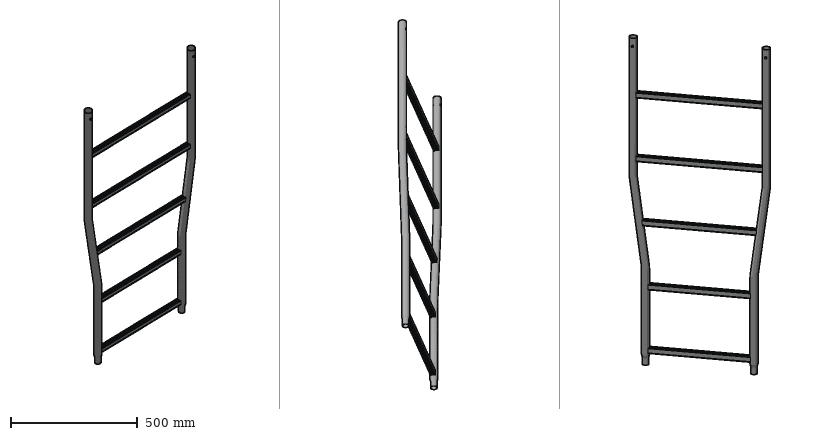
import cadquery as cq
import math

TOTAL_HEIGHT = 1435.0
TOTAL_WIDTH = 568.0
LOWER_WIDTH = 469.0

BORE_RADIUS = 15.0
WALL = 2.5
TUBE_RADIUS = BORE_RADIUS + WALL

SPIGOT_RADIUS = 13.6
SPIGOT_TOP = 30.0
TUBE_BOTTOM = 43.0

UPPER_Y = TOTAL_WIDTH / 2 - TUBE_RADIUS
LOWER_Y = LOWER_WIDTH / 2 - TUBE_RADIUS
UPPER_BEND_Z = 824.0
LOWER_BEND_Z = 428.0
BEND_RADIUS = 143.0
SLANT = math.atan2(UPPER_Y - LOWER_Y, UPPER_BEND_Z - LOWER_BEND_Z)
BEND_TANGENT = BEND_RADIUS * math.tan(SLANT / 2)

HOLE_DIAMETER = 9.3
HOLE_Z = TOTAL_HEIGHT - 36.0

RUNG_COUNT = 5
RUNG_PITCH = 280.0
FIRST_RUNG_Z = 63.0
RUNG_WIDTH = 22.0
CORE_HEIGHT = 20.0
RIDGE_COUNT = 5
RIDGE_HEIGHT = 2.6
RIDGE_PITCH = RUNG_WIDTH / RIDGE_COUNT


def centre_line():
    """Centre line of the +Y rail, from the top of the taper to the top of the rail."""
    slant_y = BEND_TANGENT * math.sin(SLANT)
    slant_z = BEND_TANGENT * math.cos(SLANT)
    return (
        cq.Workplane("YZ")
        .moveTo(LOWER_Y, TUBE_BOTTOM)
        .lineTo(LOWER_Y, LOWER_BEND_Z - BEND_TANGENT)
        .tangentArcPoint((LOWER_Y + slant_y, LOWER_BEND_Z + slant_z), relative=False)
        .lineTo(UPPER_Y - slant_y, UPPER_BEND_Z - slant_z)
        .tangentArcPoint((UPPER_Y, UPPER_BEND_Z + BEND_TANGENT), relative=False)
        .lineTo(UPPER_Y, TOTAL_HEIGHT)
    )


def bent_rod(radius):
    """Solid round rod along the rail centre line."""
    return (
        cq.Workplane("XY", origin=(0, LOWER_Y, TUBE_BOTTOM))
        .circle(radius)
        .sweep(centre_line())
    )


def spigot():
    """Hollow spigot with a conical taper up to the full tube."""
    return (
        cq.Workplane("XZ", origin=(0, LOWER_Y, 0))
        .moveTo(SPIGOT_RADIUS - WALL, 0)
        .lineTo(SPIGOT_RADIUS, 0)
        .lineTo(SPIGOT_RADIUS, SPIGOT_TOP)
        .lineTo(TUBE_RADIUS, TUBE_BOTTOM)
        .lineTo(BORE_RADIUS, TUBE_BOTTOM)
        .lineTo(SPIGOT_RADIUS - WALL, SPIGOT_TOP)
        .close()
        .revolve(360, (0, 0, 0), (0, 1, 0))
    )


def cross_hole():
    """Cutter for the hole through both walls of the tube along X."""
    return (
        cq.Workplane("YZ", origin=(0, UPPER_Y, HOLE_Z))
        .circle(HOLE_DIAMETER / 2)
        .extrude(2 * TUBE_RADIUS, both=True)
    )


def make_rail():
    """The +Y rail: bent tube, spigot and cross hole."""
    tube = bent_rod(TUBE_RADIUS).cut(bent_rod(BORE_RADIUS))
    return tube.union(spigot()).cut(cross_hole())


def centre_y(z):
    """Distance of the rail centre line from the middle plane at a rung height."""
    slant_y = LOWER_Y + (z - LOWER_BEND_Z) * math.tan(SLANT)
    return min(max(slant_y, LOWER_Y), UPPER_Y)


def ridged_face(side):
    """Zigzag outline of the top (side=1) or bottom (side=-1) of a rung, from -X to +X."""
    valley_z = side * CORE_HEIGHT / 2
    crest_z = valley_z + side * RIDGE_HEIGHT
    points = [(-RUNG_WIDTH / 2, valley_z)]
    for ridge in range(RIDGE_COUNT):
        left_x = -RUNG_WIDTH / 2 + ridge * RIDGE_PITCH
        points.append((left_x + RIDGE_PITCH / 2, crest_z))
        points.append((left_x + RIDGE_PITCH, valley_z))
    return points


def make_rung(z, rail_envelopes):
    """Ridged bar from rail to rail, its ends hollowed to sit against the round tubes."""
    outline = ridged_face(1) + ridged_face(-1)[::-1]
    bar = (
        cq.Workplane("XZ", origin=(0, 0, z))
        .polyline(outline)
        .close()
        .extrude(centre_y(z), both=True)
    )
    for envelope in rail_envelopes:
        bar = bar.cut(envelope)
    return bar


left_rail = make_rail()
right_rail = left_rail.mirror("XZ")

left_envelope = bent_rod(TUBE_RADIUS)
rail_envelopes = [left_envelope, left_envelope.mirror("XZ")]
rung_heights = [FIRST_RUNG_Z + i * RUNG_PITCH for i in range(RUNG_COUNT)]
rungs = [make_rung(z, rail_envelopes) for z in rung_heights]

result = cq.Compound.makeCompound(
    [left_rail.val(), right_rail.val()] + [rung.val() for rung in rungs]
)